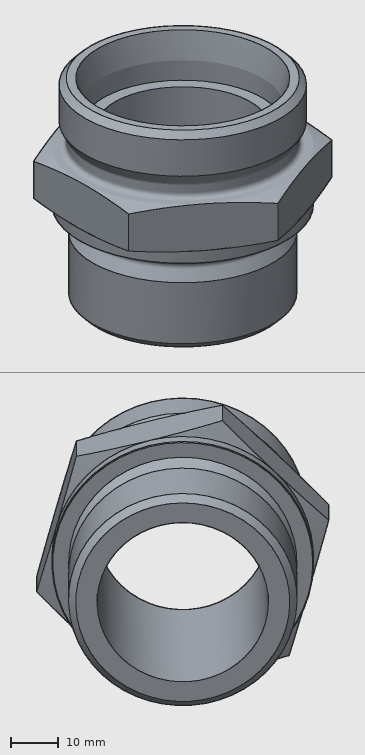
import cadquery as cq
import math

across_corners = 63.5
across_flats = across_corners * math.cos(math.radians(30))
flat_radius = across_flats / 2
hex_bottom = 25.0
hex_top = 36.0
hex_chamfer_angle = 15.0

collar_edge_chamfer = 0.2

spigot_radius = 48.0 / 2
spigot_top = 15.9
groove_radius = 22.4

total_height = 52.0
head_radius = 52.0 / 2
head_bottom = 41.9
neck_radius = 49.0 / 2
end_chamfer = 1.5

flank_angle = math.radians(30)
relief_round = 1.2

bore_radius = 36.0 / 2
socket_radius = 42.25 / 2
socket_depth = 11.2
mouth_radius = 22.5
mouth_depth = 6.55


def revolve_profile(sketch):
    """Close a half profile drawn in radius and height and turn it about Z."""
    return sketch.close().revolve(360, (0, 0, 0), (0, 1, 0))


def make_turned_body():
    """Spigots, grooves and collar as one solid of revolution."""
    fillet_center_radius = neck_radius + relief_round
    fillet_center_height = hex_top + relief_round
    fillet_offset = relief_round * math.sqrt(0.5)

    round_rise = relief_round * math.sin(flank_angle)
    round_depth = relief_round * (1 - math.cos(flank_angle))
    mid_rise = relief_round * math.sin(flank_angle / 2)
    mid_depth = relief_round * (1 - math.cos(flank_angle / 2))

    groove_edge_radius = groove_radius + round_depth
    groove_flank_height = (spigot_radius - groove_edge_radius) / math.tan(flank_angle)
    groove_arc_bottom = spigot_top + groove_flank_height
    groove_middle = groove_arc_bottom + round_rise
    groove_arc_top = groove_middle + round_rise
    collar_bottom = groove_arc_top + groove_flank_height

    neck_edge_radius = neck_radius + round_depth
    neck_arc_top = head_bottom - (head_radius - neck_edge_radius) / math.tan(flank_angle)
    neck_arc_bottom = neck_arc_top - round_rise

    return revolve_profile(
        cq.Workplane("XZ")
        .lineTo(spigot_radius - end_chamfer, 0)
        .lineTo(spigot_radius, end_chamfer)
        .lineTo(spigot_radius, spigot_top)
        .lineTo(groove_edge_radius, groove_arc_bottom)
        .threePointArc((groove_radius, groove_middle), (groove_edge_radius, groove_arc_top))
        .lineTo(spigot_radius, collar_bottom)
        .lineTo(flat_radius - collar_edge_chamfer, collar_bottom)
        .lineTo(flat_radius, collar_bottom + collar_edge_chamfer)
        .lineTo(flat_radius, hex_top)
        .lineTo(fillet_center_radius, hex_top)
        .threePointArc(
            (fillet_center_radius - fillet_offset, fillet_center_height - fillet_offset),
            (neck_radius, fillet_center_height),
        )
        .lineTo(neck_radius, neck_arc_bottom)
        .threePointArc(
            (neck_radius + mid_depth, neck_arc_bottom + mid_rise),
            (neck_edge_radius, neck_arc_top),
        )
        .lineTo(head_radius, head_bottom)
        .lineTo(head_radius, total_height - end_chamfer)
        .lineTo(head_radius - end_chamfer, total_height)
        .lineTo(0, total_height)
    )


def make_hexagon():
    """Hexagon with corners on the Y axis, both ends trimmed by a cone."""
    prism = (
        cq.Workplane("XY")
        .workplane(offset=hex_bottom)
        .transformed(rotate=(0, 0, 90))
        .polygon(6, across_corners)
        .extrude(hex_top - hex_bottom)
    )
    corner_radius = across_corners / 2
    corner_drop = (corner_radius - flat_radius) * math.tan(math.radians(hex_chamfer_angle))
    envelope = revolve_profile(
        cq.Workplane("XZ")
        .moveTo(0, hex_bottom)
        .lineTo(flat_radius, hex_bottom)
        .lineTo(corner_radius, hex_bottom + corner_drop)
        .lineTo(corner_radius, hex_top - corner_drop)
        .lineTo(flat_radius, hex_top)
        .lineTo(0, hex_top)
    )
    return prism.intersect(envelope)


def make_bore():
    """Through bore, wider socket and tapered mouth as one cutting solid."""
    socket_floor = total_height - socket_depth
    return revolve_profile(
        cq.Workplane("XZ")
        .lineTo(bore_radius, 0)
        .lineTo(bore_radius, socket_floor)
        .lineTo(socket_radius, socket_floor)
        .lineTo(socket_radius, total_height - mouth_depth)
        .lineTo(mouth_radius, total_height)
        .lineTo(0, total_height)
    )


result = make_turned_body().union(make_hexagon()).cut(make_bore())